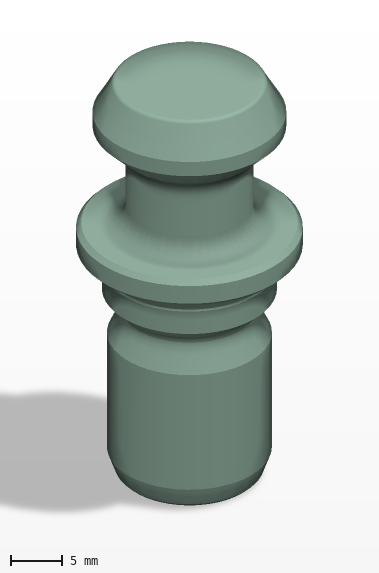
import cadquery as cq
import math


total_length = 44.1
shank_length = 25.0
head_top = total_length - shank_length
head_radius = 18.8 / 2
head_cone_height = 3.45
head_cone_angle = 30.0
head_band_height = 1.62
head_rim_round = 0.5
neck_radius = 12.4 / 2
neck_head_fillet = 2.0
neck_flange_fillet = 2.0

flange_radius = 22.0 / 2
flange_thickness = 3.0
flange_chamfer = 0.5

groove_radius = 16.7 / 2
groove_fillet = 0.3
pilot_radius = 17.0 / 2
pilot_top = -1.95
pilot_bottom = -5.5
pilot_chamfer = 1.0

relief_radius = 13.3 / 2
relief_fillet = 0.8
relief_bottom = -6.6
shank_radius = 16.0 / 2
shank_top_angle = 25.0
shank_tip_height = 2.45
shank_tip_angle = 19.5
shank_end_chamfer = 0.35


def tangent_of(degrees):
    return math.tan(math.radians(degrees))


def turned_outline():
    """Corners from the top down, as (radius, z, corner rounding)."""
    head_cone_bottom = head_top - head_cone_height
    head_band_bottom = head_cone_bottom - head_band_height
    head_top_radius = head_radius - head_cone_height * tangent_of(head_cone_angle)
    neck_top = head_band_bottom - (head_radius - neck_radius)
    groove_step = pilot_radius - groove_radius
    shank_top = relief_bottom - (shank_radius - relief_radius) / tangent_of(shank_top_angle)
    shank_tip_top = shank_tip_height - shank_length
    end_chamfer_top = shank_end_chamfer - shank_length
    tip_radius = shank_radius - (shank_tip_top - end_chamfer_top) * tangent_of(shank_tip_angle)
    return [
        (0, head_top, 0),
        (head_top_radius, head_top, head_rim_round),
        (head_radius, head_cone_bottom, 0),
        (head_radius, head_band_bottom, 0),
        (neck_radius, neck_top, neck_head_fillet),
        (neck_radius, flange_thickness, neck_flange_fillet),
        (flange_radius - flange_chamfer, flange_thickness, 0),
        (flange_radius, flange_thickness - flange_chamfer, 0),
        (flange_radius, flange_chamfer, 0),
        (flange_radius - flange_chamfer, 0, 0),
        (groove_radius, 0, groove_fillet),
        (groove_radius, pilot_top + groove_step, 0),
        (pilot_radius, pilot_top, 0),
        (pilot_radius, pilot_bottom + pilot_chamfer, 0),
        (pilot_radius - pilot_chamfer, pilot_bottom, 0),
        (relief_radius, pilot_bottom, relief_fillet),
        (relief_radius, relief_bottom, 0),
        (shank_radius, shank_top, 0),
        (shank_radius, shank_tip_top, 0),
        (tip_radius, end_chamfer_top, 0),
        (tip_radius - shank_end_chamfer, -shank_length, 0),
        (0, -shank_length, 0),
    ]


def add_rounded_corner(wire, before, corner, after, rounding):
    """Run a line to the corner's arc, then the arc tangent to both sides."""
    vertex = cq.Vector(*corner)
    toward_before = (cq.Vector(*before) - vertex).normalized()
    toward_after = (cq.Vector(*after) - vertex).normalized()
    half_angle = toward_before.getAngle(toward_after) / 2
    setback = rounding / math.tan(half_angle)
    arc_start = vertex + toward_before * setback
    arc_end = vertex + toward_after * setback
    bisector = (toward_before + toward_after).normalized()
    arc_middle = vertex + bisector * (rounding / math.sin(half_angle) - rounding)
    wire = wire.lineTo(arc_start.x, arc_start.y)
    return wire.threePointArc((arc_middle.x, arc_middle.y), (arc_end.x, arc_end.y))


def turned_body(outline):
    points = [(radius, z) for radius, z, _ in outline]
    wire = cq.Workplane("XZ").moveTo(*points[0])
    for index in range(1, len(outline)):
        rounding = outline[index][2]
        if rounding > 0:
            wire = add_rounded_corner(
                wire, points[index - 1], points[index], points[index + 1], rounding
            )
        else:
            wire = wire.lineTo(*points[index])
    axis_start = (0, 0)
    axis_end = (0, 1)
    return wire.close().revolve(360, axis_start, axis_end)


result = turned_body(turned_outline())